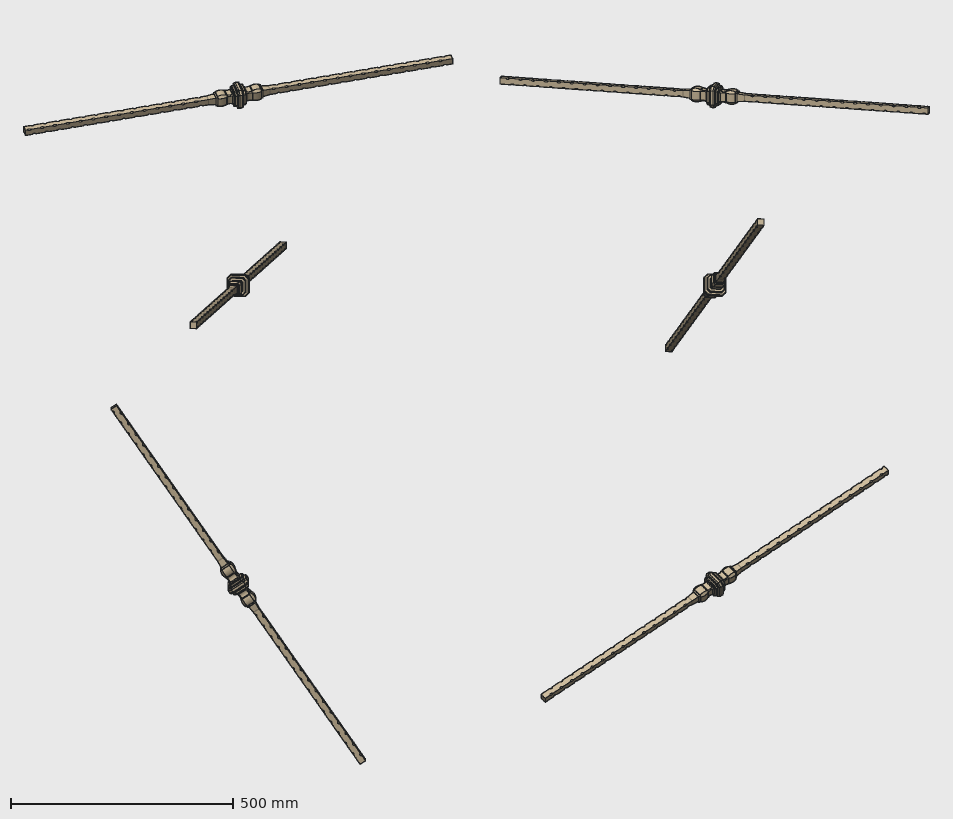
import cadquery as cq
import math


LENGTH = 1000.0
WIDTH = 50.0
BAR_HALF = 7.5
KNUCKLE_HALF_LENGTH = 72.0

FLANGE_HALF = WIDTH / 2
FLANGE_FLAT = 16.5
FLANGE_RIM = 3.0
FLANGE_BASE = 6.0
HUB_HALF = 20.0
HUB_FLAT = 13.0
HUB_RIM_START = 8.0
HUB_RIM_END = 12.0
HUB_END = 14.0
DISC_BEVEL = 1.5

NECK_HALF = 13.5
PAD_FLAT = 10.0
GROOVE_HALF = 12.0
GROOVE_START = 17.0
GROOVE_END = 29.0
BULGE_HALF = 16.0
BULGE_START = 31.0
BULGE_END = 51.0
COLLAR_HALF = 11.0
COLLAR_END = 55.0
TAPER_HALF = 9.0

DENT_PITCH = 30.0
DENTS_PER_EDGE = 14
DENT_RADIUS = 6.0
DENT_DEPTH = 2.0
DENT_LENGTH = 20.0
FIRST_DENT = 18.0
STAGGERED_FIRST_DENT = 29.0


def flat_reach(half, flat):
    """Reach of a section square to its flats, whatever their length."""
    return half


def corner_reach(half, flat):
    """Reach of a section along its diagonal, out to the corner cut."""
    return (half + flat) / math.sqrt(2)


def knuckle_slab(reach):
    """Prism along Z whose outline follows the knuckle with the given reach."""

    def at(half, flat, y):
        return (reach(half, flat), y)

    outline = (
        cq.Workplane("XY")
        .moveTo(0, 0)
        .lineTo(*at(FLANGE_HALF, FLANGE_FLAT, 0))
        .lineTo(*at(FLANGE_HALF, FLANGE_FLAT, FLANGE_RIM))
        .lineTo(*at(FLANGE_HALF - DISC_BEVEL, FLANGE_FLAT, FLANGE_BASE))
        .lineTo(*at(HUB_HALF - DISC_BEVEL, HUB_FLAT, FLANGE_BASE))
        .lineTo(*at(HUB_HALF, HUB_FLAT, HUB_RIM_START))
        .lineTo(*at(HUB_HALF, HUB_FLAT, HUB_RIM_END))
        .lineTo(*at(HUB_HALF - DISC_BEVEL, HUB_FLAT, HUB_END))
        .lineTo(*at(NECK_HALF, PAD_FLAT, HUB_END))
        .lineTo(*at(NECK_HALF, PAD_FLAT, GROOVE_START))
        .threePointArc(
            at(GROOVE_HALF, PAD_FLAT, (GROOVE_START + GROOVE_END) / 2),
            at(NECK_HALF, PAD_FLAT, GROOVE_END),
        )
        .lineTo(*at(NECK_HALF, PAD_FLAT, BULGE_START))
        .threePointArc(
            at(BULGE_HALF, PAD_FLAT, (BULGE_START + BULGE_END) / 2),
            at(NECK_HALF, PAD_FLAT, BULGE_END),
        )
        .lineTo(*at(COLLAR_HALF, COLLAR_HALF, BULGE_END))
        .lineTo(*at(COLLAR_HALF, COLLAR_HALF, COLLAR_END))
        .lineTo(*at(TAPER_HALF, TAPER_HALF, COLLAR_END))
        .lineTo(*at(BAR_HALF, BAR_HALF, KNUCKLE_HALF_LENGTH))
        .lineTo(0, KNUCKLE_HALF_LENGTH)
        .close()
    )
    quarter = outline.extrude(WIDTH, both=True)
    half = quarter.union(quarter.mirror("YZ"))
    return half.union(half.mirror("XZ"))


def turn(body, angle):
    return body.rotate((0, 0, 0), (0, 1, 0), angle)


def knuckle():
    flats = knuckle_slab(flat_reach)
    corners = knuckle_slab(corner_reach)
    body = flats.intersect(turn(flats, 90))
    return body.intersect(turn(corners, 45)).intersect(turn(corners, -45)).clean()


def edge_dents(angle, first):
    """Row of round dents, spaced down from the bar end, on the edge at the given angle."""
    edge = BAR_HALF * math.sqrt(2)
    ys = [-first - i * DENT_PITCH for i in range(DENTS_PER_EDGE)]
    row = (
        cq.Workplane("XY")
        .pushPoints([(edge - DENT_DEPTH + DENT_RADIUS, y) for y in ys])
        .circle(DENT_RADIUS)
        .extrude(DENT_LENGTH / 2, both=True)
    )
    return turn(row, angle)


def bar():
    """Hammered bar reaching from Y = 0 down towards the knuckle."""
    length = LENGTH / 2 - KNUCKLE_HALF_LENGTH
    body = cq.Workplane("XZ").rect(2 * BAR_HALF, 2 * BAR_HALF).extrude(length)
    for angle in (135, 315):
        body = body.cut(edge_dents(angle, STAGGERED_FIRST_DENT))
    for angle in (45, 225):
        body = body.cut(edge_dents(angle, FIRST_DENT))
    return body


upper_bar = bar().translate((0, LENGTH / 2, 0))
lower_bar = bar().translate((0, -KNUCKLE_HALF_LENGTH, 0))
result = knuckle().union(upper_bar).union(lower_bar)